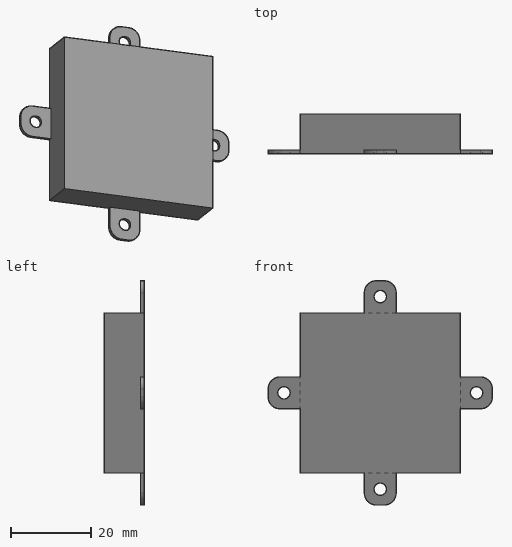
import cadquery as cq

overall_span = 56.0
body_side = 40.0
body_depth = 10.0
tab_width = 8.0
tab_thickness = 1.0
tab_corner_radius = 3.0
hole_diameter = 3.0
hole_offset = 24.0
tab_count = 4

depth_direction = -1


def make_body():
    """Plain square block."""
    return cq.Workplane("XZ").rect(body_side, body_side).extrude(depth_direction * body_depth)


def make_strap():
    """Thin strip across the block whose rounded, drilled ends form two opposite tabs."""
    return (
        cq.Workplane("XZ")
        .rect(overall_span, tab_width)
        .extrude(depth_direction * tab_thickness)
        .edges("|Y")
        .fillet(tab_corner_radius)
        .faces("<Y")
        .workplane(origin=(0, 0, 0))
        .pushPoints([(-hole_offset, 0), (hole_offset, 0)])
        .hole(hole_diameter)
    )


result = make_body()
for strap_index in range(tab_count // 2):
    strap_angle = strap_index * 360 / tab_count
    result = result.union(make_strap().rotate((0, 0, 0), (0, 1, 0), strap_angle))